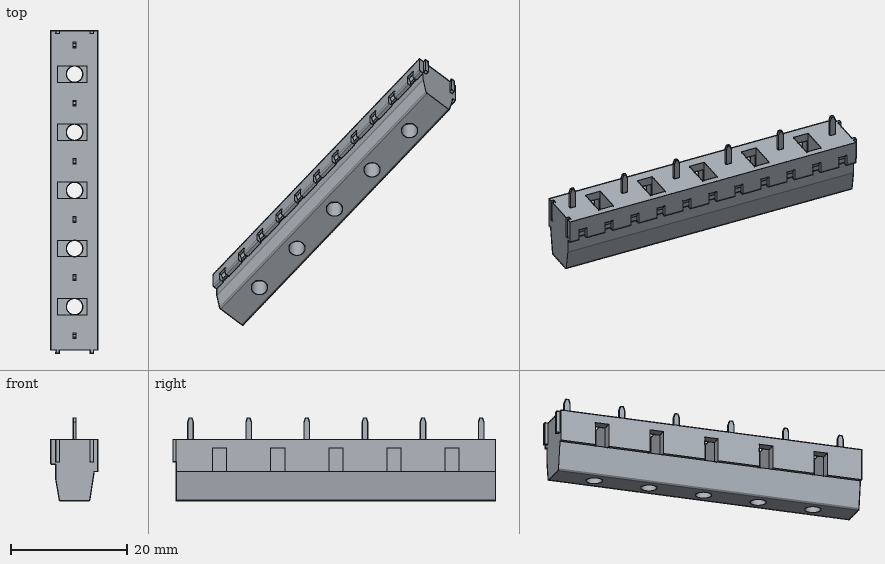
import cadquery as cq


body_length = 55.05
body_width = 8.1
body_height = 10.6
lip_radius = 0.3
foot_radius = 0.3
left_lip_depth = 4.35
left_foot_x = 0.85
left_taper_depth = 6.7
left_bottom_x = 1.5
right_lip_depth = 5.55
right_foot_x = 7.5
right_bottom_x = 6.7

pin_count = 6
pin_pitch = 10.0
pin_x = 4.1
pin_thickness = 0.5
pin_width = 1.0
pin_height = 3.65
pin_tip_width = 0.5
pin_tip_height = 0.7
pin_root = 0.55

pocket_count = pin_count - 1
pocket_x_start = 1.15
pocket_length = 5.05
pocket_width = 2.85
pocket_depth = right_lip_depth
through_hole_x = 4.1
through_hole_diameter = 2.8
window_width = 2.45
window_top_depth = 1.5

notch_count = pin_count + pocket_count
notch_pitch = pin_pitch / 2
notch_width = 1.5
notch_depth = 0.7
notch_overhang = 0.4
notch_top_depth = 2.15
notch_slope_end_depth = 3.15
notch_back_end_depth = left_lip_depth - lip_radius

key_projection = 0.55
key_width = 0.65
key_height = 3.9
key_undercut = 0.1
key_x_starts = (0.85, 6.7)


def row(count, pitch):
    """Y positions of evenly spaced features centred on the bar."""
    return [(i - (count - 1) / 2) * pitch for i in range(count)]


def extrude_along_y(points, length, y_centre):
    """Extrude an (x, z) outline along Y, centred on y_centre."""
    outline = cq.Workplane("XZ", origin=(0, y_centre, 0)).polyline(points).close()
    return outline.extrude(length / 2, both=True)


def corner_box(length_x, length_y, length_z, x_start, y_centre, z_bottom):
    """Box placed by its -X face, Y centre and underside."""
    box = cq.Workplane("XY").box(length_x, length_y, length_z, centered=(False, True, False))
    return box.translate((x_start, y_centre, z_bottom))


def make_housing():
    """Stepped bar with a lip along each side and a tapered foot."""
    points = [
        (0, 0),
        (body_width, 0),
        (body_width, -right_lip_depth),
        (right_foot_x, -right_lip_depth),
        (right_bottom_x, -body_height),
        (left_bottom_x, -body_height),
        (left_foot_x, -left_taper_depth),
        (left_foot_x, -left_lip_depth),
        (0, -left_lip_depth),
    ]
    housing = extrude_along_y(points, body_length, 0)
    lip_edge = cq.selectors.NearestToPointSelector((0, 0, -left_lip_depth))
    housing = housing.edges(lip_edge).fillet(lip_radius)
    return housing.faces("<Z").edges("|Y").fillet(foot_radius)


def make_notch(y):
    """Notch open at the lip underside, with a sloping roof."""
    points = [
        (0, -notch_top_depth),
        (notch_overhang, -notch_top_depth),
        (notch_depth, -notch_slope_end_depth),
        (notch_depth, -notch_back_end_depth),
        (left_foot_x, -notch_back_end_depth),
        (left_foot_x, -left_lip_depth),
        (0, -left_lip_depth),
    ]
    return extrude_along_y(points, notch_width, y)


def make_pocket(y):
    """Pocket with a window through the +X wall and a round hole to the underside."""
    pocket = corner_box(pocket_length, pocket_width, pocket_depth, pocket_x_start, y, -pocket_depth)
    window = corner_box(
        body_width - through_hole_x,
        window_width,
        pocket_depth - window_top_depth,
        through_hole_x,
        y,
        -pocket_depth,
    )
    hole = (
        cq.Workplane("XY", origin=(through_hole_x, y, -body_height))
        .circle(through_hole_diameter / 2)
        .extrude(body_height)
    )
    return pocket.union(window).union(hole)


def make_pin(y):
    """Flat pin with a tapered tip, rooted in the housing."""
    half_width = pin_width / 2
    half_tip = pin_tip_width / 2
    shoulder = pin_height - pin_tip_height
    points = [
        (y - half_width, -pin_root),
        (y + half_width, -pin_root),
        (y + half_width, shoulder),
        (y + half_tip, pin_height),
        (y - half_tip, pin_height),
        (y - half_width, shoulder),
    ]
    outline = cq.Workplane("YZ", origin=(pin_x, 0, 0)).polyline(points).close()
    return outline.extrude(pin_thickness / 2, both=True)


def make_key(x_start, y_end):
    """Key lying just on the -Y side of the plane Y = y_end, its -X flank undercut."""
    y_tip = y_end - key_projection
    points = [
        (x_start + key_undercut, y_end),
        (x_start + key_width, y_end),
        (x_start + key_width, y_tip),
        (x_start, y_tip),
    ]
    return cq.Workplane("XY").polyline(points).close().extrude(-key_height)


result = make_housing()

for notch_y in row(notch_count, notch_pitch):
    result = result.cut(make_notch(notch_y))

for pocket_y in row(pocket_count, pin_pitch):
    result = result.cut(make_pocket(pocket_y))

for key_x in key_x_starts:
    result = result.cut(make_key(key_x, body_length / 2))
    result = result.union(make_key(key_x, -body_length / 2))

for pin_y in row(pin_count, pin_pitch):
    result = result.union(make_pin(pin_y))